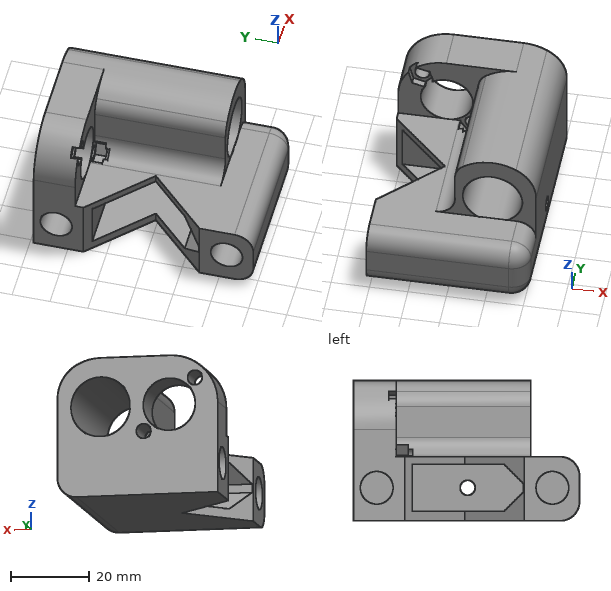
import cadquery as cq
import math

length = 42.0
depth = 58.0
height = 36.0

base_height = 16.5
base_round = 5.0
rod_z = 8.5
rod_diameter = 8.4
rod_mid_y = 29.5
rod_spacing = 45.0
end_wall = 4.0
notch_depth = 15.3

pocket_mid_y = 28.7
pocket_length = 28.5
pocket_height = 12.0
pocket_chamfer = 4.9
bolt_diameter = 3.8

tube_x = 30.7
tube_front_y = 12.5
bore_z = 23.25
tube_radius = height - bore_z
tube_bore_diameter = 15.5
tube_wall_x = 20.9
tube_left_round = 5.0
tube_right_round = 10.0
tube_root_fillet = 5.0

plate_thickness = 11.0
plate_front_y = depth - plate_thickness
plate_corner_radius = 12.5
screw_x = 12.7
screw_bore_diameter = 13.6

fastener_circle = 19.0
fastener_diagonal = 135.0
nut_corner_diameter = 6.5
nut_trap_depth = 1.9
nut_trap_clearance = 3.1
screw_clearance = 4.2
lower_nut_turn = 6.0


def bore_x(y, diameter, bore_length):
    """Cylinder along X at rod height, starting from the left side."""
    return cq.Workplane("YZ").center(y, rod_z).circle(diameter / 2).extrude(bore_length)


def prism_y(profile, front, back):
    """Extrude an XZ profile, drawn on the plane y = 0, from front to back."""
    return profile.extrude(front - back).translate((0, front, 0))


def make_base():
    base = cq.Workplane("XY").box(length, depth, base_height, centered=False)
    front_edges = base.faces("<Y").edges("|X")
    right_edges = base.faces(">X").edges("|Y")
    corner_edge = base.faces(">X").edges("|Z and <Y")
    return front_edges.add(right_edges).add(corner_edge).fillet(base_round)


def tube_round(side_x, radius):
    """Rounding of radius between the tube's circle and its vertical flat at side_x.

    Returns the tangent point on the circle, a point halfway along, and the tangent point on the flat.
    """
    direction = math.copysign(1, side_x - tube_x)
    offset_x = side_x - direction * radius - tube_x
    centre_distance = tube_radius - radius
    offset_z = math.sqrt(centre_distance**2 - offset_x**2)
    centre_x = tube_x + offset_x
    centre_z = bore_z + offset_z
    tilt = math.atan2(offset_z, direction * offset_x)
    on_circle = (tube_x + tube_radius * offset_x / centre_distance,
                 bore_z + tube_radius * offset_z / centre_distance)
    halfway = (centre_x + direction * radius * math.cos(tilt / 2),
               centre_z + radius * math.sin(tilt / 2))
    on_flat = (side_x, centre_z)
    return on_circle, halfway, on_flat


def make_tube():
    left_top, left_mid, left_flat = tube_round(tube_wall_x, tube_left_round)
    right_top, right_mid, right_flat = tube_round(length, tube_right_round)
    root_x = tube_wall_x - tube_root_fillet
    root_z = base_height + tube_root_fillet
    root_diagonal = tube_root_fillet * math.sqrt(0.5)
    profile = (
        cq.Workplane("XZ")
        .moveTo(root_x, rod_z)
        .lineTo(root_x, base_height)
        .threePointArc((root_x + root_diagonal, root_z - root_diagonal), (tube_wall_x, root_z))
        .lineTo(*left_flat)
        .threePointArc(left_mid, left_top)
        .threePointArc((tube_x, height), right_top)
        .threePointArc(right_mid, right_flat)
        .lineTo(length, rod_z)
        .close()
    )
    return prism_y(profile, tube_front_y, depth)


def make_plate():
    corner_diagonal = plate_corner_radius * math.sqrt(0.5)
    corner_z = height - plate_corner_radius
    profile = (
        cq.Workplane("XZ")
        .moveTo(0, rod_z)
        .lineTo(0, corner_z)
        .threePointArc(
            (plate_corner_radius - corner_diagonal, corner_z + corner_diagonal),
            (plate_corner_radius, height),
        )
        .lineTo(tube_x, height)
        .lineTo(tube_x, rod_z)
        .close()
    )
    return prism_y(profile, plate_front_y, depth)


def make_notch():
    return (
        cq.Workplane("XY")
        .moveTo(0, rod_mid_y - notch_depth)
        .lineTo(notch_depth, rod_mid_y)
        .lineTo(0, rod_mid_y + notch_depth)
        .close()
        .extrude(base_height)
    )


def make_pocket():
    pocket_depth = length - end_wall
    pocket = cq.Workplane("XY").box(pocket_depth, pocket_length, pocket_height, centered=(False, True, True))
    pocket = pocket.faces("<Y").edges("|X").chamfer(pocket_chamfer)
    return pocket.translate((0, pocket_mid_y, rod_z))


def fastener_place(direction):
    """X and Z of a screw on the fastener circle, in the given direction from the lead screw."""
    angle = math.radians(direction)
    x = screw_x + fastener_circle / 2 * math.cos(angle)
    z = bore_z + fastener_circle / 2 * math.sin(angle)
    return x, z


def make_screw_hole(x, z):
    profile = cq.Workplane("XZ").center(x, z).circle(bolt_diameter / 2)
    return prism_y(profile, plate_front_y - screw_clearance, depth)


def make_upper_trap(x, z):
    """Nut trap sunk into the plate, its two outer flats running on until they break out of the plate."""
    corner_radius = nut_corner_diameter / 2
    tip_radius = corner_radius * math.sqrt(3)
    corners = [(tip_radius, fastener_diagonal)]
    for turn in (90, 150, 210, 270):
        corners.append((corner_radius, fastener_diagonal + turn))
    outline = []
    for radius, direction in corners:
        angle = math.radians(direction)
        outline.append((x + radius * math.cos(angle), z + radius * math.sin(angle)))
    profile = cq.Workplane("XZ").polyline(outline).close()
    return prism_y(profile, plate_front_y, plate_front_y + nut_trap_depth)


def make_lower_trap(x, z):
    """Nut clearance in front of the plate, cut into the root of the tube."""
    profile = cq.Workplane("XZ").center(x, z).polygon(6, nut_corner_diameter)
    trap = prism_y(profile, plate_front_y - nut_trap_clearance, plate_front_y)
    return trap.rotate((x, 0, z), (x, -1, z), lower_nut_turn)


def make_bore(x, diameter, front):
    """Bore along Y from the given front position out through the back."""
    return prism_y(cq.Workplane("XZ").center(x, bore_z).circle(diameter / 2), front, depth)


body = make_base().union(make_tube()).union(make_plate())

body = body.cut(make_notch())
body = body.cut(make_pocket())
body = body.cut(bore_x(pocket_mid_y, bolt_diameter, length))
for side in (-1, 1):
    rod_y = rod_mid_y + side * rod_spacing / 2
    body = body.cut(bore_x(rod_y, rod_diameter, length - end_wall))

body = body.cut(make_bore(tube_x, tube_bore_diameter, tube_front_y))
body = body.cut(make_bore(screw_x, screw_bore_diameter, plate_front_y))

upper_place = fastener_place(fastener_diagonal)
lower_place = fastener_place(fastener_diagonal + 180)
for place in (upper_place, lower_place):
    body = body.cut(make_screw_hole(*place))
body = body.cut(make_upper_trap(*upper_place))
body = body.cut(make_lower_trap(*lower_place))

result = body